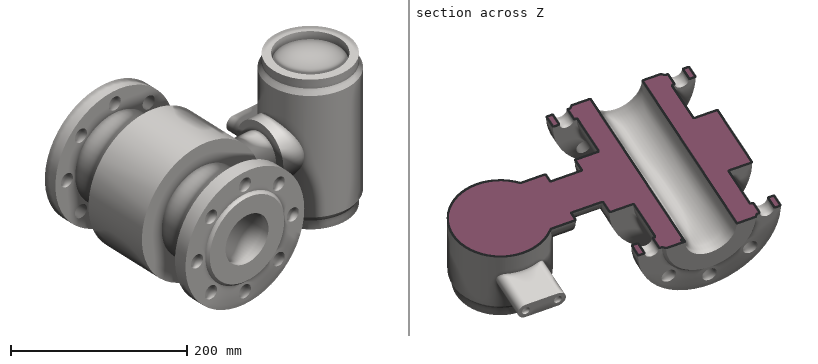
import cadquery as cq

total_length = 248.0
disc_diameter = 180.0
pipe_diameter = 120.0
bore_diameter = 65.0
body_length = 91.5
flange_thickness = 18.0
raised_face_height = 3.5
flange_outer_x = total_length / 2 - raised_face_height

bolt_hole_count = 8
bolt_hole_diameter = 18.0
bolt_circle_diameter = 145.2

neck_diameter = 55.0
collar_diameter = 80.0
collar_start_y = 129.5

total_depth = 356
housing_diameter = 120.0
housing_height = 204.0
housing_y = total_depth - disc_diameter / 2 - housing_diameter / 2
cap_diameter = 110.7
cap_height = 12.0
shoulder_height = 7.0
window_rim_diameter = 89.0
window_floor_diameter = 86.0
window_depth = 10.0

entry_end_x = -109.5
entry_width = 60.5
entry_thickness = 20.3
entry_z = -39.0
cable_hole_diameter = 10.0
cable_hole_spacing = 40.2
cable_hole_depth = 35.5


def x_cylinder(diameter, start_x, length):
    return cq.Workplane("YZ", origin=(start_x, 0, 0)).circle(diameter / 2).extrude(length)


def y_cylinder(diameter, start_y, end_y):
    return cq.Workplane("XZ", origin=(0, end_y, 0)).circle(diameter / 2).extrude(end_y - start_y)


def make_flow_tube():
    tube = x_cylinder(pipe_diameter, -total_length / 2, total_length)
    tube = tube.faces("<X or >X").chamfer(raised_face_height)
    tube = tube.union(x_cylinder(disc_diameter, -body_length / 2, body_length))
    for start_x in (-flange_outer_x, flange_outer_x - flange_thickness):
        flange = x_cylinder(disc_diameter, start_x, flange_thickness)
        bolt_holes = (
            cq.Workplane("YZ", origin=(start_x, 0, 0))
            .polarArray(bolt_circle_diameter / 2, 0, 360, bolt_hole_count)
            .circle(bolt_hole_diameter / 2)
            .extrude(flange_thickness)
        )
        tube = tube.union(flange.cut(bolt_holes))
    return tube


def make_neck():
    neck = y_cylinder(neck_diameter, 0, housing_y)
    return neck.union(y_cylinder(collar_diameter, collar_start_y, housing_y))


def make_housing():
    top = housing_height / 2
    cap_base = top - cap_height
    shoulder_base = cap_base - shoulder_height
    cap_radius = cap_diameter / 2
    housing_radius = housing_diameter / 2
    floor_z = top - window_depth
    half_profile = [
        (0, -top),
        (cap_radius, -top),
        (cap_radius, -cap_base),
        (housing_radius, -shoulder_base),
        (housing_radius, shoulder_base),
        (cap_radius, cap_base),
        (cap_radius, top),
        (window_rim_diameter / 2, top),
        (window_floor_diameter / 2, floor_z),
        (0, floor_z),
    ]
    housing = cq.Workplane("XZ").polyline(half_profile).close().revolve(360, (0, 0, 0), (0, 1, 0))
    return housing.translate((0, housing_y, 0))


def make_cable_entry():
    return (
        cq.Workplane("YZ", origin=(entry_end_x, housing_y, entry_z))
        .slot2D(entry_width, entry_thickness)
        .extrude(-entry_end_x)
    )


def make_cable_holes():
    half_spacing = cable_hole_spacing / 2
    return (
        cq.Workplane("YZ", origin=(entry_end_x, housing_y, entry_z))
        .pushPoints([(-half_spacing, 0), (half_spacing, 0)])
        .circle(cable_hole_diameter / 2)
        .extrude(cable_hole_depth)
    )


result = make_flow_tube().union(make_neck())
result = result.cut(x_cylinder(bore_diameter, -total_length / 2, total_length))
result = result.union(make_housing()).union(make_cable_entry()).cut(make_cable_holes())